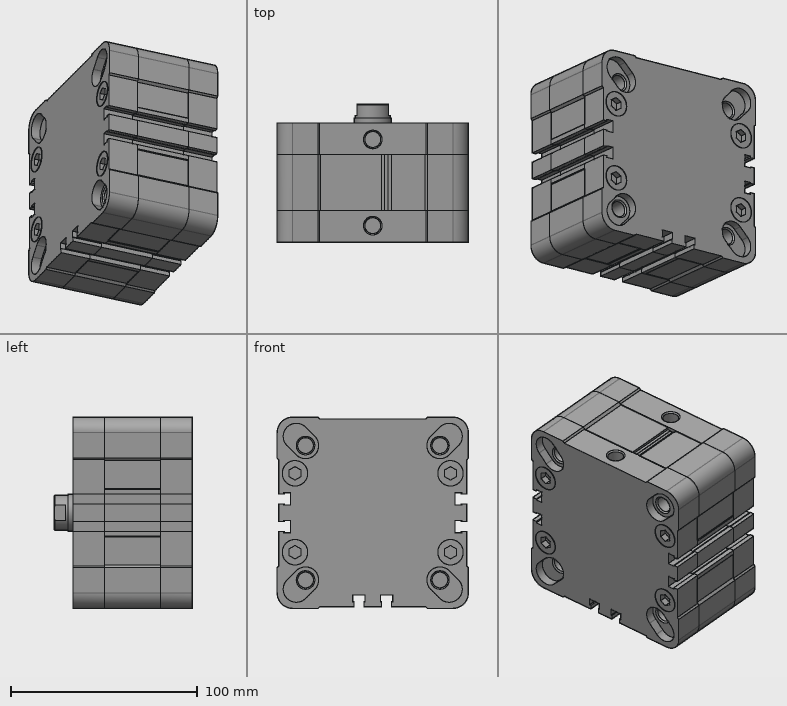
import cadquery as cq
import math

CAP_LENGTH = 17.0
BODY_LENGTH = 64.0
OVERALL_LENGTH = 74.0
BARREL_LENGTH = BODY_LENGTH - 2 * CAP_LENGTH
FRONT_CAP_START = BODY_LENGTH - CAP_LENGTH

HALF_WIDTH = 51.3
CORNER_RADIUS = 8.4
PAD_EDGE = 29.3
CAP_STEP = 0.9
BARREL_STEP = 1.3
RIB_HALF_WIDTH = 12.5

SLOT_INNER = 4.7
SLOT_OUTER = 10.0
SLOT_FLOOR = 44.1
UNDERCUT = 0.5
CAP_LIP = 47.9
CAP_OUTER_UNDERCUT = 0.9
BARREL_LIP = 47.4

GROOVE_DEPTH = 1.3
GROOVE_CORE_INNER = 6.4
GROOVE_CORE_OUTER = 8.1
GROOVE_CORE_DEPTH = 1.5

PORT_DIAMETER = 8.5
PORT_MOUTH_DIAMETER = 10.0
PORT_DEPTH = 10.3
PORT_POSITION = 8.9

MOUNT_POSITION = 36.0
MOUNT_DIAMETER = 8.4
MOUNT_MOUTH_DIAMETER = 10.0
POCKET_DIAMETER = 14.1
POCKET_OUTER_POSITION = 40.9
POCKET_DEPTH = 5.1

SCREW_X = 41.7
SCREW_Z = 21.1
HEAD_DIAMETER = 13.6
HEAD_RECESS = 0.3
SOCKET_ACROSS_FLATS = 6.3
SOCKET_DEPTH = 4.1

ROD_DIAMETER = 20.0
ROD_END_DIAMETER = 19.0
ROD_SHOULDER = 66.6
FLATS_START = 68.0
ACROSS_FLATS = 17.0
ROD_CHAMFER = 0.5


def y_plane(y):
    """Sketch plane at position y: local x is X, local y is Z, and extrusion runs toward +Y."""
    return cq.Workplane(cq.Plane(origin=(0, y, 0), xDir=(1, 0, 0), normal=(0, -1, 0)))


def prism(points, start, length):
    """Extrude an (X, Z) polygon along +Y."""
    return y_plane(start).polyline(points).close().extrude(-length)


def turned(solid, angle):
    """Turn a body about the Y axis."""
    return solid.rotate((0, 0, 0), (0, 1, 0), angle)


def side_relief(depth, rib_half_width, start, length):
    """Shallow cut between the corner pads of the bottom side, with 45 degree ends."""
    base = -HALF_WIDTH
    rib_rise = depth - CAP_STEP
    points = [(-PAD_EDGE, base), (-PAD_EDGE + depth, base + depth)]
    if rib_half_width > 0:
        points += [
            (-rib_half_width - rib_rise, base + depth),
            (-rib_half_width, base + CAP_STEP),
            (rib_half_width, base + CAP_STEP),
            (rib_half_width + rib_rise, base + depth),
        ]
    points += [(PAD_EDGE - depth, base + depth), (PAD_EDGE, base)]
    return prism(points, start, length)


def slot_pair(lip, outer_undercut, start, length):
    """Two mirrored T-slots in the bottom side."""
    points = [
        (SLOT_INNER, -HALF_WIDTH),
        (SLOT_INNER, -lip),
        (SLOT_INNER - UNDERCUT, -lip),
        (SLOT_INNER - UNDERCUT, -SLOT_FLOOR),
        (SLOT_OUTER + outer_undercut, -SLOT_FLOOR),
        (SLOT_OUTER + outer_undercut, -lip),
        (SLOT_OUTER, -lip),
        (SLOT_OUTER, -HALF_WIDTH),
    ]
    slot = prism(points, start, length)
    return slot.union(slot.mirror("YZ"))


def square_block(start, length):
    """Square block with rounded edges along Y."""
    return (
        y_plane(start)
        .rect(2 * HALF_WIDTH, 2 * HALF_WIDTH)
        .extrude(-length)
        .edges("|Y")
        .fillet(CORNER_RADIUS)
    )


def chamfered_hole(plane, diameter, mouth_diameter, depth):
    """Hole cutter running against the plane normal, with a 45 degree mouth chamfer."""
    chamfer = (mouth_diameter - diameter) / 2
    bore = plane.circle(diameter / 2).extrude(-depth)
    mouth = plane.circle(mouth_diameter / 2).extrude(-chamfer, taper=45)
    return bore.union(mouth)


def cap_blank(start, port_y):
    """End cap with side reliefs, T-slots and an air port in the top."""
    cap = square_block(start, CAP_LENGTH)
    for angle in (0, 90, 180, 270):
        cap = cap.cut(turned(side_relief(CAP_STEP, 0, start, CAP_LENGTH), angle))
    for angle in (0, 90, 270):
        cap = cap.cut(turned(slot_pair(CAP_LIP, CAP_OUTER_UNDERCUT, start, CAP_LENGTH), angle))
    port_plane = cq.Workplane("XY", origin=(0, port_y, HALF_WIDTH - CAP_STEP))
    return cap.cut(chamfered_hole(port_plane, PORT_DIAMETER, PORT_MOUTH_DIAMETER, PORT_DEPTH))


def corner_mount():
    """Cutter for one slanted corner pocket and its mounting hole (+X, +Z corner)."""
    pocket_middle = (MOUNT_POSITION + POCKET_OUTER_POSITION) / 2
    center_distance = (POCKET_OUTER_POSITION - MOUNT_POSITION) * math.sqrt(2)
    pocket = (
        y_plane(0)
        .center(pocket_middle, pocket_middle)
        .slot2D(center_distance + POCKET_DIAMETER, POCKET_DIAMETER, 45)
        .extrude(-POCKET_DEPTH)
    )
    hole_plane = y_plane(POCKET_DEPTH).center(MOUNT_POSITION, MOUNT_POSITION)
    hole_depth = CAP_LENGTH - POCKET_DEPTH
    return pocket.union(chamfered_hole(hole_plane, MOUNT_DIAMETER, MOUNT_MOUTH_DIAMETER, hole_depth))


def screw_marks():
    """Cutter for the shallow head recesses and their hexagon sockets."""
    centers = [(x, z) for x in (-SCREW_X, SCREW_X) for z in (-SCREW_Z, SCREW_Z)]
    socket_diameter = SOCKET_ACROSS_FLATS / math.cos(math.radians(30))
    heads = y_plane(0).pushPoints(centers).circle(HEAD_DIAMETER / 2).extrude(-HEAD_RECESS)
    socket = y_plane(0).polygon(6, socket_diameter).extrude(-SOCKET_DEPTH)
    for x, z in centers:
        heads = heads.union(turned(socket, 90).translate((x, 0, z)))
    return heads


def make_rear_cap():
    cap = cap_blank(0, PORT_POSITION)
    for angle in (0, 90, 180, 270):
        cap = cap.cut(turned(corner_mount(), angle))
    return cap.cut(screw_marks())


def make_front_cap():
    rod_hole = y_plane(FRONT_CAP_START).circle(ROD_DIAMETER / 2).extrude(-CAP_LENGTH)
    return cap_blank(FRONT_CAP_START, BODY_LENGTH - PORT_POSITION).cut(rod_hole)


def sensor_groove():
    """Stepped groove along the top of the barrel."""
    top = HALF_WIDTH - BARREL_STEP
    shelf = top - GROOVE_DEPTH
    floor = top - GROOVE_CORE_DEPTH
    points = [
        (SLOT_INNER, top),
        (SLOT_INNER, shelf),
        (GROOVE_CORE_INNER, shelf),
        (GROOVE_CORE_INNER, floor),
        (GROOVE_CORE_OUTER, floor),
        (GROOVE_CORE_OUTER, shelf),
        (SLOT_OUTER, shelf),
        (SLOT_OUTER, top),
    ]
    return prism(points, CAP_LENGTH, BARREL_LENGTH)


def make_barrel():
    barrel = square_block(CAP_LENGTH, BARREL_LENGTH)
    slotted_relief = side_relief(BARREL_STEP, RIB_HALF_WIDTH, CAP_LENGTH, BARREL_LENGTH)
    slots = slot_pair(BARREL_LIP, UNDERCUT, CAP_LENGTH, BARREL_LENGTH)
    for angle in (0, 90, 270):
        barrel = barrel.cut(turned(slotted_relief, angle)).cut(turned(slots, angle))
    top_relief = turned(side_relief(BARREL_STEP, 0, CAP_LENGTH, BARREL_LENGTH), 180)
    return barrel.cut(top_relief).cut(sensor_groove())


def make_rod():
    """Rod from the barrel face through the front cap, with a thinner end and two wrench flats."""
    shank = y_plane(FRONT_CAP_START).circle(ROD_DIAMETER / 2).extrude(FRONT_CAP_START - ROD_SHOULDER)
    end = (
        y_plane(ROD_SHOULDER)
        .circle(ROD_END_DIAMETER / 2)
        .extrude(ROD_SHOULDER - OVERALL_LENGTH)
        .faces(">Y")
        .chamfer(ROD_CHAMFER)
    )
    flats_length = OVERALL_LENGTH - FLATS_START
    flat_depth = (ROD_END_DIAMETER - ACROSS_FLATS) / 2
    flat_centers = [(side * (ACROSS_FLATS + flat_depth) / 2, 0) for side in (-1, 1)]
    flats = (
        y_plane(FLATS_START)
        .pushPoints(flat_centers)
        .rect(flat_depth, ROD_END_DIAMETER)
        .extrude(-flats_length)
    )
    return shank.union(end.cut(flats))


rear_cap = make_rear_cap()
barrel = make_barrel()
front_cap = make_front_cap()
rod = make_rod()

result = cq.Compound.makeCompound([rear_cap.val(), barrel.val(), front_cap.val(), rod.val()])